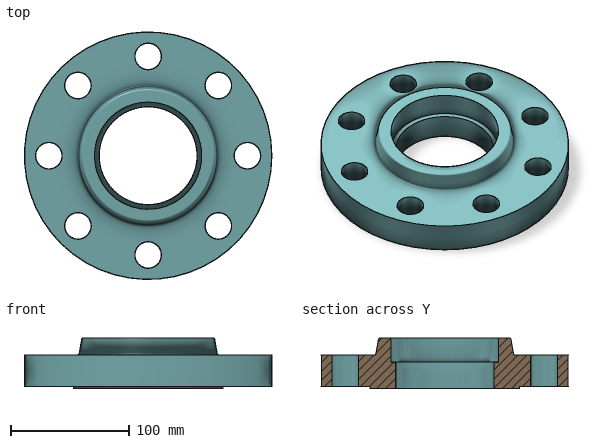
import cadquery as cq
import math

flange_diameter = 209.5
total_height = 43.0
face_diameter = 127.0
face_height = 1.6
flange_top = 28.5

hub_base_diameter = 117.3
hub_taper_angle = 10.0
hub_edge_radius = 1.5
hub_root_radius = 1.5

bore_diameter = 82.7
socket_diameter = 90.7
socket_depth = 20.5

bolt_count = 8
bolt_hole_diameter = 22.2
bolt_circle_diameter = 168.0

hub_height = total_height - flange_top
hub_base_radius = hub_base_diameter / 2
hub_top_radius = hub_base_radius - hub_height * math.tan(math.radians(hub_taper_angle))


def make_blank():
    """Revolve the sealing face, flange disc and tapered hub as one solid, with Z = 0 at the bottom."""
    flange_radius = flange_diameter / 2
    face_radius = face_diameter / 2
    profile = (
        cq.Workplane("XZ")
        .moveTo(0, 0)
        .lineTo(face_radius, 0)
        .lineTo(face_radius, face_height)
        .lineTo(flange_radius, face_height)
        .lineTo(flange_radius, flange_top)
        .lineTo(hub_base_radius, flange_top)
        .lineTo(hub_top_radius, total_height)
        .lineTo(0, total_height)
        .close()
    )
    return profile.revolve(360, (0, 0, 0), (0, 1, 0))


def circle_at(height, radius):
    """Select the circular edge centred on the Z axis with this height and radius."""
    margin = 0.02
    return cq.selectors.BoxSelector(
        (-radius - margin, -radius - margin, height - margin),
        (radius + margin, radius + margin, height + margin),
        boundingbox=True,
    )


def round_hub(body):
    """Round the top edge of the hub and the corner where it meets the flange."""
    body = body.edges(circle_at(total_height, hub_top_radius)).fillet(hub_edge_radius)
    return body.edges(circle_at(flange_top, hub_base_radius)).fillet(hub_root_radius)


def cut_centre_opening(body):
    """Cut the through bore, then the wider socket down from the hub top."""
    bore = cq.Workplane("XY").circle(bore_diameter / 2).extrude(total_height)
    socket = (
        cq.Workplane("XY", origin=(0, 0, total_height - socket_depth))
        .circle(socket_diameter / 2)
        .extrude(socket_depth)
    )
    return body.cut(bore).cut(socket)


def cut_bolt_holes(body):
    """Cut the ring of bolt holes through the flange disc, the first one on the X axis."""
    holes = (
        cq.Workplane("XY")
        .polarArray(bolt_circle_diameter / 2, 0, 360, bolt_count)
        .circle(bolt_hole_diameter / 2)
        .extrude(flange_top)
    )
    return body.cut(holes)


blank = round_hub(make_blank())
result = cut_bolt_holes(cut_centre_opening(blank))